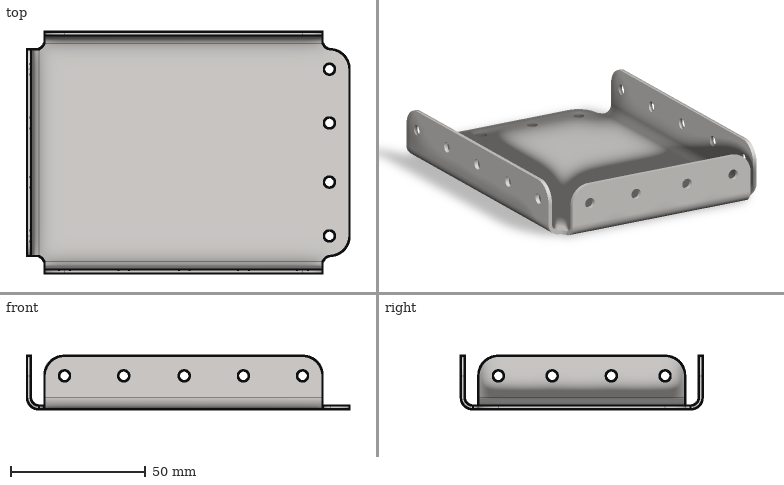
import cadquery as cq
import math

length = 120.0
width = 90.0
height = 20.0
thickness = 1.5

inner_bend_radius = 3.0
outer_bend_radius = inner_bend_radius + thickness
relief_radius = 3.0
corner_radius = 7.5
flange_inset = 6.5
open_end_setback = 10.0

hole_diameter = 4.0
hole_edge_distance = corner_radius
side_hole_offsets = (0.0, 22.0, 44.5, 66.5, 88.5)
end_hole_offsets = (-31.0, -11.0, 11.0, 31.0)

end_flange_x = -length / 2
open_edge_x = length / 2
side_start_x = end_flange_x + flange_inset
side_end_x = open_edge_x - open_end_setback
side_length = side_end_x - side_start_x
side_center_x = (side_start_x + side_end_x) / 2
end_width = width - 2 * flange_inset
hole_height = height - hole_edge_distance


def make_floor():
    """Flat floor between the bend lines, with concave reliefs and rounded open corners.

    Each relief is an arc blending a side flange end into the neighbouring edge,
    cut off where it meets a bend line.
    """
    bend_x = end_flange_x + outer_bend_radius
    bend_y = width / 2 - outer_bend_radius
    edge_y = end_width / 2

    end_relief_x = side_start_x - relief_radius
    end_relief_y = edge_y + relief_radius
    end_step_y = end_relief_y - math.sqrt(relief_radius**2 - (bend_x - end_relief_x) ** 2)
    end_step_x = end_relief_x + math.sqrt(relief_radius**2 - (end_relief_y - bend_y) ** 2)

    corner_x = open_edge_x - corner_radius
    corner_y = edge_y - corner_radius
    open_relief_x = side_end_x + relief_radius
    center_distance = corner_radius + relief_radius
    open_relief_y = corner_y + math.sqrt(center_distance**2 - (open_relief_x - corner_x) ** 2)
    open_step_x = open_relief_x - math.sqrt(relief_radius**2 - (open_relief_y - bend_y) ** 2)
    corner_share = corner_radius / center_distance
    tangent_x = corner_x + corner_share * (open_relief_x - corner_x)
    tangent_y = corner_y + corner_share * (open_relief_y - corner_y)

    half = (
        cq.Workplane("XY")
        .moveTo(bend_x, 0)
        .lineTo(bend_x, end_step_y)
        .radiusArc((end_step_x, bend_y), -relief_radius)
        .lineTo(open_step_x, bend_y)
        .radiusArc((tangent_x, tangent_y), -relief_radius)
        .radiusArc((open_edge_x, corner_y), corner_radius)
        .lineTo(open_edge_x, 0)
        .close()
        .extrude(thickness)
    )
    return half.union(half.mirror("XZ"))


def make_flange(run):
    """Bend and upright wall of the given run along Y, centred on Y, with its outer face at X = 0."""
    flange = (
        cq.Workplane("XZ")
        .moveTo(outer_bend_radius, 0)
        .radiusArc((0, outer_bend_radius), outer_bend_radius)
        .lineTo(0, height)
        .lineTo(thickness, height)
        .lineTo(thickness, outer_bend_radius)
        .radiusArc((outer_bend_radius, thickness), -inner_bend_radius)
        .close()
        .extrude(run / 2, both=True)
    )
    return flange.edges("|X and >Z").fillet(corner_radius)


def make_side_flange(side):
    """Long flange on the -Y (side = -1) or +Y (side = 1) edge."""
    flange = make_flange(side_length).rotate((0, 0, 0), (0, 0, 1), -90 * side)
    return flange.translate((side_center_x, side * width / 2, 0))


def make_drills(plane, points, reach):
    """Hole cylinders at the given points, reaching equally far to both sides of the plane."""
    drills = cq.Workplane(plane).pushPoints(points).circle(hole_diameter / 2)
    return drills.extrude(reach, both=True)


def cut_holes(body):
    """Hole rows through both side flanges, the end flange and the open edge of the floor."""
    first_x = side_start_x + hole_edge_distance
    side_points = [(first_x + offset, hole_height) for offset in side_hole_offsets]
    end_points = [(y, hole_height) for y in end_hole_offsets]
    floor_points = [(open_edge_x - hole_edge_distance, y) for y in end_hole_offsets]
    body = body.cut(make_drills("XZ", side_points, width))
    body = body.cut(make_drills("YZ", end_points, length))
    return body.cut(make_drills("XY", floor_points, height))


tray = make_floor().union(make_flange(end_width).translate((end_flange_x, 0, 0)))
for side in (-1, 1):
    tray = tray.union(make_side_flange(side))

result = cut_holes(tray)